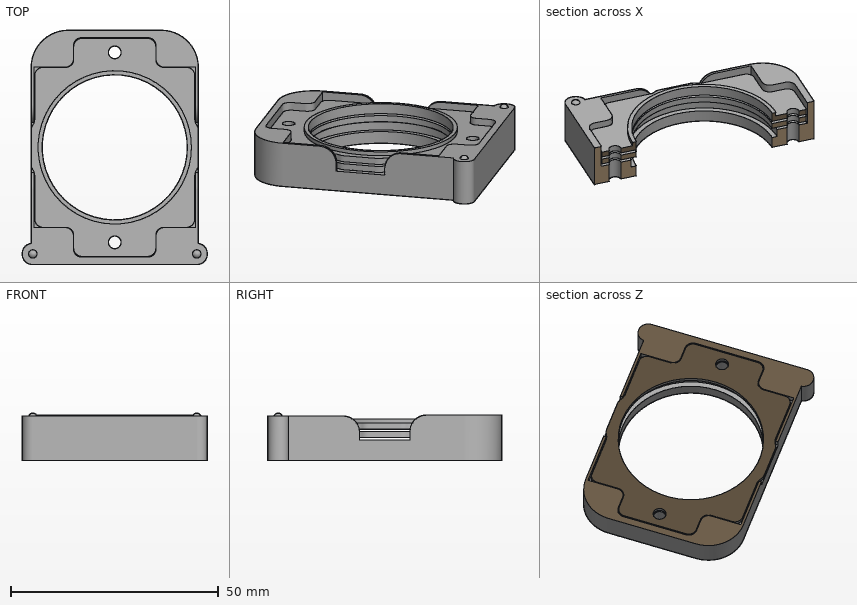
import cadquery as cq
import math

length = 56.45
body_width = 40.3
overall_width = 44.6
back_corner_radius = 9.0
boss_radius = 2.5
boss_depth = 5.15

front_height = 10.8
back_height = 11.0
overall_height = 11.45
floor_height = 5.0
dome_base_radius = 1.0

notch_half_length = 6.05
notch_flare_radius = 4.0

pocket_half_width = 19.4
pocket_half_length = 19.3
lobe_half_width = 9.95
lobe_reach = 26.4
corner_radius = 2.0
side_clearance = 0.15
end_clearance = 0.15
fit_clearance = 0.05

bore_diameter = 34.9
recess_diameter = 37.4
recess_bottom = 3.0
hole_diameter = 3.0
hole_offset = 22.85

plate_thickness = 1.5
plate_gap = 0.5
lip_diameter = 36.9
lip_height = 0.95
ear_half_length = 3.9
ear_blend_radius = 5.5 / 2

lower_plate_base = floor_height + plate_gap
upper_plate_base = lower_plate_base + plate_thickness + plate_gap
boss_x = overall_width / 2 - boss_depth / 2
boss_y = -length / 2 + boss_depth / 2
boss_centers = [(-boss_x, boss_y), (boss_x, boss_y)]


def cylinder(diameter, bottom, top, centers=((0, 0),)):
    """Vertical cylinders between two heights."""
    base = cq.Workplane("XY", origin=(0, 0, bottom))
    return base.pushPoints(centers).circle(diameter / 2).extrude(top - bottom)


def mounting_holes(bottom, top):
    """Cutters for the hole in the front lobe and the one in the back lobe."""
    return cylinder(hole_diameter, bottom, top, [(0, -hole_offset), (0, hole_offset)])


def cross_prism(half_width, half_length, lobe_half, reach, bottom, height):
    """Wide rectangle with a rounded lobe at the front and back; its four outer corners stay sharp."""
    base = cq.Workplane("XY", origin=(0, 0, bottom))
    wide = base.rect(2 * half_width, 2 * half_length).extrude(height)
    lobes = base.rect(2 * lobe_half, 2 * reach).extrude(height)
    margin = corner_radius
    near_lobes = cq.selectors.BoxSelector(
        (-lobe_half - margin, -reach - margin, bottom),
        (lobe_half + margin, reach + margin, bottom + height),
    )
    return wide.union(lobes).edges("|Z").edges(near_lobes).fillet(corner_radius)


def housing_blank():
    """Rounded block with two bosses at the front corners and a slightly lower front half."""
    block_length = length / 2 - boss_y
    block = (
        cq.Workplane("XY", origin=(0, length / 2 - block_length / 2, 0))
        .rect(body_width, block_length)
        .extrude(back_height)
    )
    block = block.edges("|Z and >Y").fillet(back_corner_radius)
    front_drop = (
        cq.Workplane("XY", origin=(0, -length / 4, front_height))
        .rect(body_width, length / 2)
        .extrude(back_height - front_height)
    )
    front_bar = (
        cq.Workplane("XY", origin=(0, boss_y, 0))
        .rect(overall_width, boss_depth)
        .extrude(front_height)
        .edges("|Z")
        .fillet(boss_radius)
    )
    return block.cut(front_drop).union(front_bar)


def domes():
    """Spherical caps on top of the bosses."""
    rise = overall_height - front_height
    dome_bottom = front_height - rise
    sphere_radius = (dome_base_radius ** 2 + rise ** 2) / (2 * rise)
    spheres = (
        cq.Workplane("XY", origin=(0, 0, overall_height - sphere_radius))
        .pushPoints(boss_centers)
        .sphere(sphere_radius)
    )
    return spheres.intersect(cylinder(2 * dome_base_radius, dome_bottom, overall_height, boss_centers))


def notch_half(top, side):
    """Finger notch on one side of Y = 0, flaring out to the wall top in a convex quarter round."""
    flare_end = notch_half_length + notch_flare_radius
    diagonal = notch_flare_radius * math.sqrt(0.5)
    flare_middle = flare_end - diagonal
    middle_height = top - notch_flare_radius + diagonal
    return (
        cq.Workplane("YZ", origin=(-body_width / 2, 0, 0))
        .moveTo(0, floor_height)
        .lineTo(side * notch_half_length, floor_height)
        .lineTo(side * notch_half_length, top - notch_flare_radius)
        .threePointArc((side * flare_middle, middle_height), (side * flare_end, top))
        .lineTo(side * flare_end, overall_height)
        .lineTo(0, overall_height)
        .close()
        .extrude(body_width)
    )


def make_housing():
    pocket = cross_prism(
        pocket_half_width, pocket_half_length, lobe_half_width, lobe_reach,
        floor_height, overall_height - floor_height,
    )
    return (
        housing_blank()
        .union(domes())
        .cut(pocket)
        .cut(notch_half(front_height, -1))
        .cut(notch_half(back_height, 1))
        .cut(cylinder(recess_diameter, recess_bottom, floor_height))
        .cut(cylinder(bore_diameter, 0, recess_bottom))
        .cut(mounting_holes(0, floor_height))
    )


def ears(plate_half_width, base):
    """Strip across the plate whose ends reach the outer walls and blend back in S-curves."""
    tip = body_width / 2
    half_step = (tip - plate_half_width) / 2
    half_blend = math.sqrt(ear_blend_radius ** 2 - (ear_blend_radius - half_step) ** 2)
    middle = (tip - half_step, ear_half_length + half_blend)
    root = (plate_half_width, ear_half_length + 2 * half_blend)
    quarter = (
        cq.Workplane("XY", origin=(0, 0, base))
        .lineTo(tip, 0)
        .lineTo(tip, ear_half_length)
        .tangentArcPoint(middle, relative=False)
        .tangentArcPoint(root, relative=False)
        .lineTo(0, root[1])
        .close()
        .extrude(plate_thickness)
    )
    half = quarter.union(quarter.mirror("XZ"))
    return half.union(half.mirror("YZ"))


def make_plate(base):
    """Cross-shaped plate with rounded corners and an ear in each finger notch, not yet bored."""
    half_width = pocket_half_width - side_clearance
    plate = cross_prism(
        half_width, pocket_half_length - fit_clearance, lobe_half_width - fit_clearance,
        lobe_reach - end_clearance, base, plate_thickness,
    )
    plate = plate.edges("|Z and (<X or >X)").fillet(corner_radius)
    return plate.union(ears(half_width, base)).cut(mounting_holes(base, base + plate_thickness))


def make_lower_plate():
    top = lower_plate_base + plate_thickness
    return make_plate(lower_plate_base).cut(cylinder(bore_diameter, lower_plate_base, top))


def make_upper_plate():
    """Plate with a raised lip around its bore."""
    plate_top = upper_plate_base + plate_thickness
    lip_top = plate_top + lip_height
    return (
        make_plate(upper_plate_base)
        .union(cylinder(lip_diameter, plate_top, lip_top))
        .cut(cylinder(bore_diameter, upper_plate_base, lip_top))
    )


housing = make_housing()
lower_plate = make_lower_plate()
upper_plate = make_upper_plate()

result = cq.Compound.makeCompound([housing.val(), lower_plate.val(), upper_plate.val()])